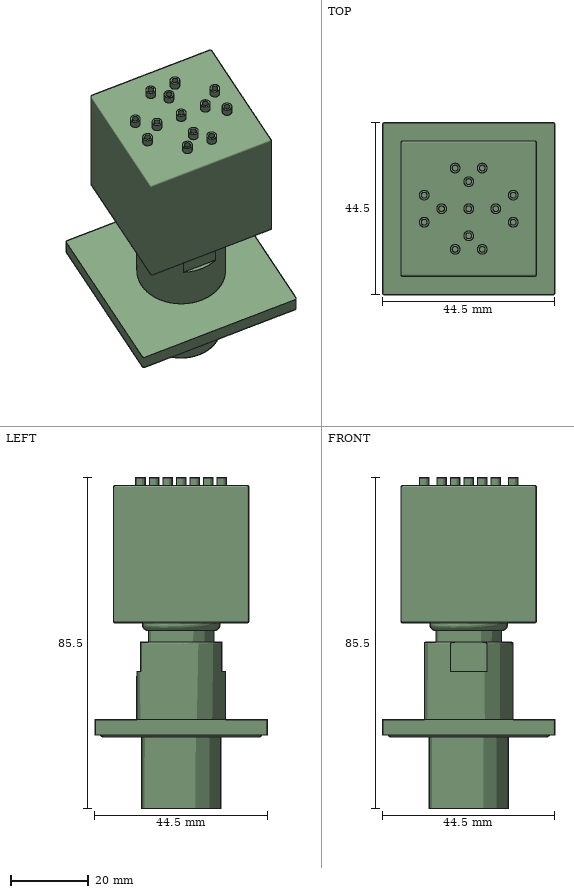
import cadquery as cq

stem_diameter = 20.5
stem_length = 19.0
flange_side = 44.5
flange_thickness = 4.0
flange_edge_fillet = 0.5
barrel_diameter = 23.0
barrel_length = 20.0
barrel_rim_fillet = 0.4
neck_diameter = 17.0
neck_length = 5.0
head_side = 35.0
head_height = 35.5
head_fillet = 0.5

flange_bottom = stem_length
flange_top = flange_bottom + flange_thickness
barrel_top = flange_top + barrel_length
head_bottom = barrel_top + neck_length
head_top = head_bottom + head_height

flat_spacing = 21.0
flat_height = 7.5

collar_diameter = 20.0
collar_radius = 1.5
collar_drop = 2.0

sleeve_diameter = 2.5
sleeve_bore = 1.5
sleeve_height = 2.0
inner_pitch = 7.0
half_pair = inner_pitch / 2
outer_x = 11.5
outer_y = 10.5

ring_outer_diameter = 42.0
ring_thickness = 2.0
ring_protrusion = 0.5
ring_inner_diameter = ring_outer_diameter - 2 * ring_thickness
groove_depth = ring_thickness - ring_protrusion


def cylinder(diameter, length, bottom):
    """Upright cylinder on the main axis."""
    return cq.Workplane("XY").workplane(offset=bottom).circle(diameter / 2).extrude(length)


def square_block(side, height, bottom):
    """Upright square block centred on the main axis."""
    return cq.Workplane("XY").workplane(offset=bottom).rect(side, side).extrude(height)


def make_barrel():
    """Barrel with a rounded rim and two opposite wrench flats."""
    barrel = cylinder(barrel_diameter, barrel_length, flange_top)
    barrel = barrel.faces(">Z").edges().fillet(barrel_rim_fillet)
    flat_depth = (barrel_diameter - flat_spacing) / 2
    for side in (-1, 1):
        cutter = cq.Workplane("XY").box(barrel_diameter, flat_depth, flat_height)
        cutter_y = side * (flat_spacing + flat_depth) / 2
        barrel = barrel.cut(cutter.translate((0, cutter_y, barrel_top - flat_height / 2)))
    return barrel


def make_collar():
    """Half-round bead around the neck, its upper part sunk into the head."""
    seat_radius = collar_diameter / 2 - collar_radius
    lower_z = head_bottom - collar_drop
    profile = cq.Workplane("XZ").moveTo(0, lower_z).lineTo(seat_radius, lower_z)
    profile = profile.threePointArc(
        (collar_diameter / 2, lower_z + collar_radius),
        (seat_radius, lower_z + 2 * collar_radius),
    )
    profile = profile.lineTo(0, lower_z + 2 * collar_radius).close()
    return profile.revolve(360, (0, 0, 0), (0, 1, 0))


def sleeve_points():
    """Centre, four inner and eight outer sleeve positions."""
    points = [(0, 0)]
    for sign in (-1, 1):
        points += [(sign * inner_pitch, 0), (0, sign * inner_pitch)]
        for side in (-1, 1):
            points += [(side * half_pair, sign * outer_y), (sign * outer_x, side * half_pair)]
    return points


def make_sleeves():
    """Short tubes standing on the head."""
    top = cq.Workplane("XY").workplane(offset=head_top).pushPoints(sleeve_points())
    return top.circle(sleeve_diameter / 2).circle(sleeve_bore / 2).extrude(sleeve_height)


def make_groove():
    """Ring-shaped cutter for the seal seat in the flange underside."""
    groove = cq.Workplane("XY").workplane(offset=flange_bottom)
    return groove.circle(ring_outer_diameter / 2).circle(ring_inner_diameter / 2).extrude(groove_depth)


def make_connector():
    """Stem, flange, barrel, neck, collar, head and sleeves as one solid."""
    flange = square_block(flange_side, flange_thickness, flange_bottom)
    flange = flange.edges("|Z").fillet(flange_edge_fillet)
    head = square_block(head_side, head_height, head_bottom).edges().fillet(head_fillet)
    body = cylinder(stem_diameter, stem_length, 0).union(flange).union(make_barrel())
    body = body.union(cylinder(neck_diameter, neck_length, barrel_top))
    body = body.union(make_collar()).union(head).union(make_sleeves())
    return body.cut(make_groove())


def make_seal_ring():
    """Round-section ring seated against the groove floor."""
    section_radius = ring_thickness / 2
    center_radius = (ring_outer_diameter - ring_thickness) / 2
    center_z = flange_bottom - ring_protrusion + section_radius
    section = cq.Workplane("XZ").center(center_radius, center_z).circle(section_radius)
    return section.revolve(360, (-center_radius, 0, 0), (-center_radius, 1, 0))


connector = make_connector()
seal_ring = make_seal_ring()

result = cq.Compound.makeCompound([connector.val(), seal_ring.val()])